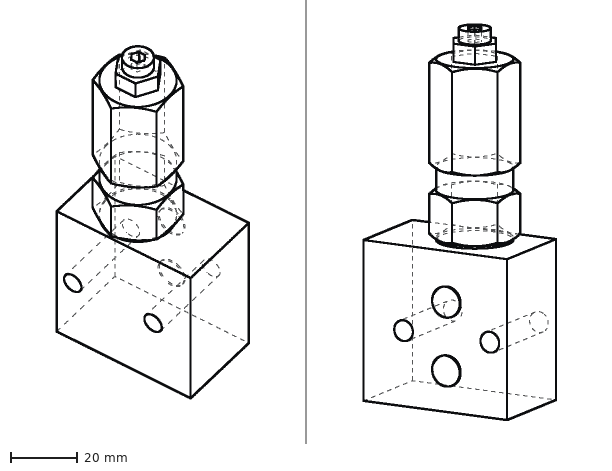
import cadquery as cq
import math

block_width = 50.0
block_depth = 30.0
block_height = 50.0
block_front_y = -13.0
block_back_y = block_front_y + block_depth
valve_x = 20.9

mount_hole_diameter = 6.5
mount_hole_xs = (6.0, 36.0)
mount_hole_z = 23.5

seal_diameter = 9.6
seal_height = 0.6
seal_zs = (12.8, 34.2)

lower_hex_bottom = 50.7
lower_hex_top = 65.4
upper_hex_bottom = 72.6
upper_hex_top = 106.1
locknut_top = 111.7
screw_top = 115.7

body_hex_flats = 23.8
collar_diameter = 23.4
hex_chamfer_angle = 30
locknut_flats = 12.8
screw_diameter = 9.7
socket_flats = 4.0
socket_depth = 3.9


def hex_prism(flats, bottom, top, turn=0):
    """Hexagonal prism on the valve axis; corners lie along X when turn is 0."""
    across_corners = flats / math.cos(math.radians(30))
    prism = cq.Workplane("XY").polygon(6, across_corners).extrude(top - bottom)
    return prism.rotate((0, 0, 0), (0, 0, 1), turn).translate((valve_x, 0, bottom))


def cylinder(diameter, bottom, top):
    """Upright cylinder on the valve axis."""
    return (
        cq.Workplane("XY", origin=(valve_x, 0, bottom))
        .circle(diameter / 2)
        .extrude(top - bottom)
    )


def chamfered_hex(bottom, top):
    """Body hexagon, corners along Y, with conically turned corners at both ends."""
    corner_radius = body_hex_flats / math.cos(math.radians(30)) / 2
    radial = corner_radius - collar_diameter / 2
    rise = radial * math.tan(math.radians(hex_chamfer_angle))
    envelope = cylinder(2 * corner_radius, bottom, top).edges("%CIRCLE").chamfer(rise, radial)
    return hex_prism(body_hex_flats, bottom, top, turn=30).intersect(envelope)


result = cq.Workplane("XY").box(block_width, block_depth, block_height, centered=False)
result = result.translate((0, block_front_y, 0))
mount_holes = (
    cq.Workplane("XZ", origin=(0, block_back_y, 0))
    .pushPoints([(x, mount_hole_z) for x in mount_hole_xs])
    .circle(mount_hole_diameter / 2)
    .extrude(block_depth)
)
result = result.cut(mount_holes)

seals = (
    cq.Workplane("XZ", origin=(0, block_back_y, 0))
    .pushPoints([(valve_x, z) for z in seal_zs])
    .circle(seal_diameter / 2)
    .extrude(-seal_height)
)
result = result.union(seals)

result = result.union(cylinder(collar_diameter, block_height, upper_hex_bottom))
result = result.union(chamfered_hex(lower_hex_bottom, lower_hex_top))
result = result.union(chamfered_hex(upper_hex_bottom, upper_hex_top))
result = result.union(hex_prism(locknut_flats, upper_hex_top, locknut_top))

result = result.union(cylinder(screw_diameter, locknut_top, screw_top))
result = result.cut(hex_prism(socket_flats, screw_top - socket_depth, screw_top))